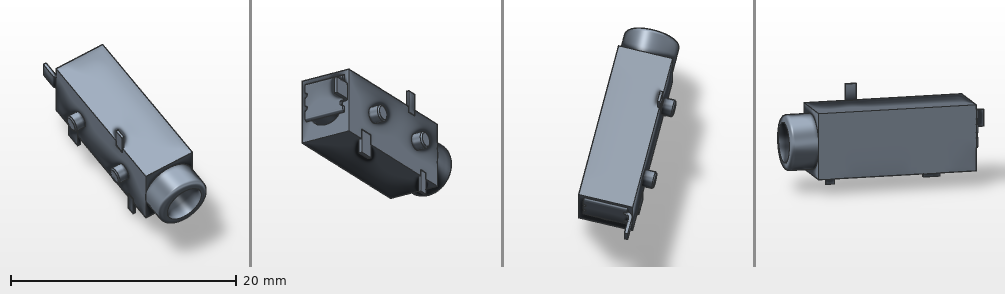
import cadquery as cq


barrel_diameter = 5.0
barrel_radius = barrel_diameter / 2
barrel_length = 2.5
barrel_rounding = 0.4
bore_radius = 1.8

overall_length = 19
tongue_reach = 2.0
body_length = overall_length - tongue_reach - barrel_length
body_height = 6.0
terminal_proud = 0.048
mounting_y = -barrel_radius
body_front_y = mounting_y + terminal_proud
body_back_y = barrel_radius

pin_radius = 0.76
pin_length = 1.0
pin_chamfer = 0.13
pin_positions = (4.0, 11.0)

overall_height = 9.0
tip_z = overall_height / 2
terminals = (
    (9.73, 0.99, 2.43, tip_z, 0.23),
    (2.05, 1.5, -2.09, -4.31, 0.32),
    (11.72, 0.8, -2.43, -tip_z, 0.23),
)

plate_thickness = 0.3
plate_width = 3.99
plate_height = 3.61
plate_center_z = 0.75
plate_rounding = 0.28
tongue_width = 1.5
bend_inner_radius = 0.15
bend_outer_radius = bend_inner_radius + plate_thickness
notch_radius = 0.25
relief_depth = 0.3
notch_spacing = 1.25


def box(x_range, y_range, z_range):
    """Box spanning the given limits along each axis."""
    spans = (x_range, y_range, z_range)
    sizes = [abs(end - start) for start, end in spans]
    center = tuple((start + end) / 2 for start, end in spans)
    return cq.Workplane("XY").box(*sizes).translate(center)


def rod_along_x(radius, start_x, length, y=0, z=0):
    return cq.Workplane("YZ", origin=(start_x, y, z)).circle(radius).extrude(length)


def make_housing():
    """Rectangular body and round barrel with a bore running right through."""
    body = box((0, body_length), (body_front_y, body_back_y), (-body_height / 2, body_height / 2))
    barrel = rod_along_x(barrel_radius, body_length, barrel_length)
    barrel = barrel.faces(">X").edges().fillet(barrel_rounding)
    bore = rod_along_x(bore_radius, 0, body_length + barrel_length)
    return body.union(barrel).cut(bore)


def make_pin(x):
    pin = cq.Workplane("XZ", origin=(x, body_front_y, 0)).circle(pin_radius)
    pin = pin.extrude(pin_length + terminal_proud)
    return pin.faces("<Y").edges().chamfer(pin_chamfer)


def make_terminal(x, width, inner_z, outer_z, thickness):
    return box((x, x + width), (mounting_y, mounting_y + thickness), (inner_z, outer_z))


def make_contact_plate():
    """Plate over the rear of the bore, notched on both sides."""
    half_width = plate_width / 2
    half_height = plate_height / 2
    plate = box(
        (-plate_thickness, 0),
        (-half_width, half_width),
        (plate_center_z - half_height, plate_center_z + half_height),
    )
    plate = plate.edges("<X and |Y").fillet(plate_rounding)
    relief_end_y = -half_width + relief_depth - notch_radius
    for side in (-1, 1):
        relief_z = plate_center_z + side * (tongue_width / 2 + notch_radius)
        slot = box(
            (-plate_thickness, 0),
            (-half_width, relief_end_y),
            (relief_z - notch_radius, relief_z + notch_radius),
        )
        slot_end = rod_along_x(notch_radius, -plate_thickness, plate_thickness, relief_end_y, relief_z)
        notch_z = plate_center_z + side * notch_spacing / 2
        notch = rod_along_x(notch_radius, -plate_thickness, plate_thickness, half_width, notch_z)
        plate = plate.cut(slot).cut(slot_end).cut(notch)
    return plate


def make_tongue():
    """Strip leaving the plate edge and bending rearward into the mounting plane."""
    plate_edge_y = -plate_width / 2
    bend_center_y = mounting_y + bend_outer_radius
    inner_y = mounting_y + plate_thickness
    profile = (
        cq.Workplane("XY", origin=(0, 0, plate_center_z - tongue_width / 2))
        .moveTo(0, plate_edge_y)
        .lineTo(0, bend_center_y)
        .radiusArc((-bend_outer_radius, mounting_y), bend_outer_radius)
        .lineTo(-tongue_reach, mounting_y)
        .lineTo(-tongue_reach, inner_y)
        .lineTo(-bend_outer_radius, inner_y)
        .radiusArc((-plate_thickness, bend_center_y), -bend_inner_radius)
        .lineTo(-plate_thickness, plate_edge_y)
        .close()
    )
    return profile.extrude(tongue_width)


result = make_housing()
for pin_x in pin_positions:
    result = result.union(make_pin(pin_x))
for terminal in terminals:
    result = result.union(make_terminal(*terminal))
result = result.union(make_contact_plate()).union(make_tongue())